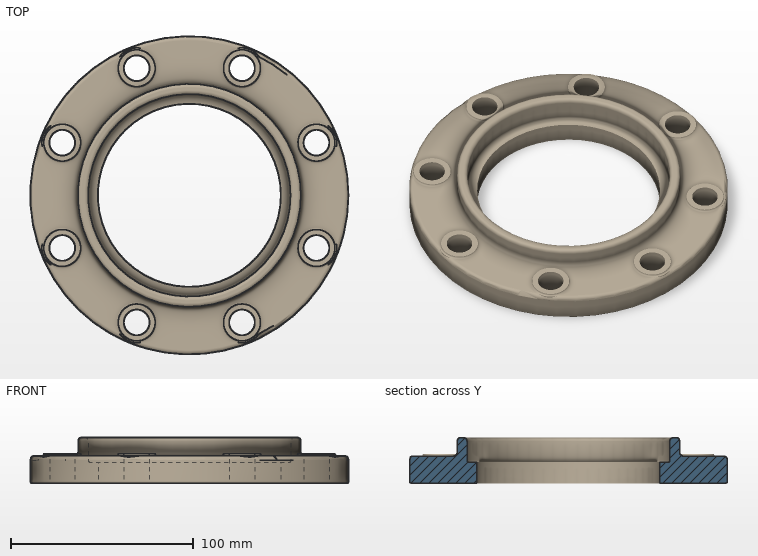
import cadquery as cq

flange_radius = 87.0
flange_height = 15.0
flange_top_fillet = 2.3
flange_bottom_fillet = 1.0
total_height = 25.0
hub_radius = 60.9
hub_top_fillet = 2.0
hub_root_fillet = 2.1

bore_radius = 50.0
counterbore_radius = 55.3
counterbore_depth = 13.5
counterbore_floor_fillet = 1.0
counterbore_rim_fillet = 2.1

bolt_count = 8
bolt_circle_radius = 75.2
bolt_hole_radius = 7.0
seat_top_radius = 10.1
seat_height = 1.0
seat_base_radius = seat_top_radius + seat_height

counterbore_floor = total_height - counterbore_depth


def make_flange():
    return (
        cq.Workplane("XY")
        .circle(flange_radius)
        .extrude(flange_height)
        .faces(">Z").edges().fillet(flange_top_fillet)
        .faces("<Z").edges().fillet(flange_bottom_fillet)
    )


def make_hub():
    """Revolve the hub profile, including the flared root on the flange."""
    root_top = flange_height + hub_root_fillet
    root_radius = hub_radius + hub_root_fillet
    return (
        cq.Workplane("XZ")
        .lineTo(root_radius, 0)
        .lineTo(root_radius, flange_height)
        .radiusArc((hub_radius, root_top), hub_root_fillet)
        .lineTo(hub_radius, total_height)
        .lineTo(0, total_height)
        .close()
        .revolve(360, (0, 0, 0), (0, 1, 0))
        .faces(">Z").edges().fillet(hub_top_fillet)
    )


def make_counterbore():
    """Revolve the counterbore, with a rounded floor corner and a flared mouth."""
    mouth_radius = counterbore_radius + counterbore_rim_fillet
    return (
        cq.Workplane("XZ")
        .moveTo(0, counterbore_floor)
        .lineTo(counterbore_radius - counterbore_floor_fillet, counterbore_floor)
        .radiusArc(
            (counterbore_radius, counterbore_floor + counterbore_floor_fillet),
            -counterbore_floor_fillet,
        )
        .lineTo(counterbore_radius, total_height - counterbore_rim_fillet)
        .radiusArc((mouth_radius, total_height), counterbore_rim_fillet)
        .lineTo(0, total_height)
        .close()
        .revolve(360, (0, 0, 0), (0, 1, 0))
    )


def bolt_points(height):
    half_pitch = 180 / bolt_count
    return cq.Workplane("XY", origin=(0, 0, height)).polarArray(
        bolt_circle_radius, half_pitch, 360, bolt_count
    )


def make_seat(location):
    """Raised seat: concave flare above the flange, base sunk through the rim fillet."""
    seat = (
        cq.Workplane("XZ")
        .moveTo(0, -flange_top_fillet)
        .lineTo(seat_base_radius, -flange_top_fillet)
        .lineTo(seat_base_radius, 0)
        .radiusArc((seat_top_radius, seat_height), seat_height)
        .lineTo(0, seat_height)
        .close()
        .revolve(360, (0, 0, 0), (0, 1, 0))
    )
    return seat.val().moved(location)


seats = bolt_points(flange_height).eachpoint(make_seat, combine=False)
bolt_holes = bolt_points(0).circle(bolt_hole_radius).extrude(total_height)
bore = cq.Workplane("XY").circle(bore_radius).extrude(total_height)

result = (
    make_flange()
    .union(make_hub())
    .union(seats)
    .cut(bore)
    .cut(make_counterbore())
    .cut(bolt_holes)
)